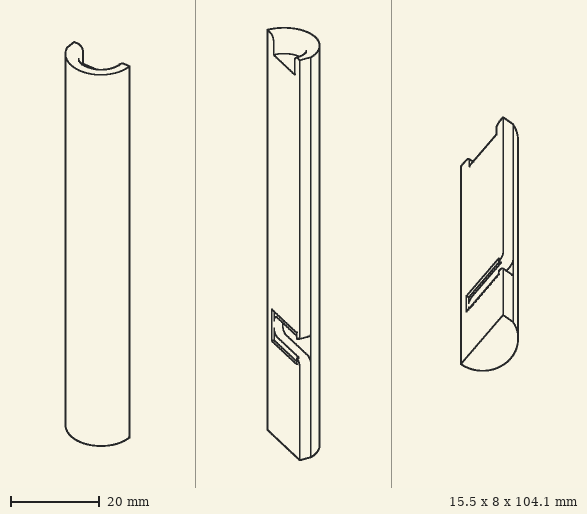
import cadquery as cq
import math

length = 104.1
outer_radius = 8.0
flat_x = -7.5
flat_height = math.sqrt(outer_radius**2 - flat_x**2)

edge_radius = 1.6

socket_radius = 5.0
socket_depth = 5.0

slot_center_z = 28.3
slot_width = 5.1
slot_throat_x = flat_x + edge_radius

seat_half_width = -slot_throat_x
seat_height = slot_width + 2 * edge_radius
seat_depth = 0.6


def body():
    """Half-round bar with a narrow flat along its -X side."""
    return (
        cq.Workplane("XY")
        .moveTo(flat_x, 0)
        .lineTo(flat_x, -flat_height)
        .threePointArc((0, -outer_radius), (outer_radius, 0))
        .close()
        .extrude(length)
    )


def socket():
    """Flat-bottomed socket with a rounded mouth, as a full revolution about Z."""
    floor_z = length - socket_depth
    mouth_radius = socket_radius + edge_radius
    return (
        cq.Workplane("XZ")
        .moveTo(0, floor_z)
        .lineTo(socket_radius, floor_z)
        .lineTo(socket_radius, length - edge_radius)
        .radiusArc((mouth_radius, length), edge_radius)
        .lineTo(0, length)
        .close()
        .revolve(360, (0, 0, 0), (0, 1, 0))
    )


def side_slot():
    """Slot with a flared mouth in the flat and rounded corners at its far end."""
    bottom = slot_center_z - slot_width / 2
    top = slot_center_z + slot_width / 2
    end_x = seat_half_width
    return (
        cq.Workplane("XZ")
        .moveTo(flat_x, bottom - edge_radius)
        .radiusArc((slot_throat_x, bottom), edge_radius)
        .lineTo(end_x - edge_radius, bottom)
        .radiusArc((end_x, bottom + edge_radius), -edge_radius)
        .lineTo(end_x, top - edge_radius)
        .radiusArc((end_x - edge_radius, top), -edge_radius)
        .lineTo(slot_throat_x, top)
        .radiusArc((flat_x, top + edge_radius), edge_radius)
        .close()
        .extrude(flat_height)
    )


def seat():
    """Shallow rectangular recess in the split face."""
    return (
        cq.Workplane("XZ")
        .center(0, slot_center_z)
        .rect(2 * seat_half_width, seat_height)
        .extrude(seat_depth)
    )


result = body().cut(socket()).cut(side_slot()).cut(seat())